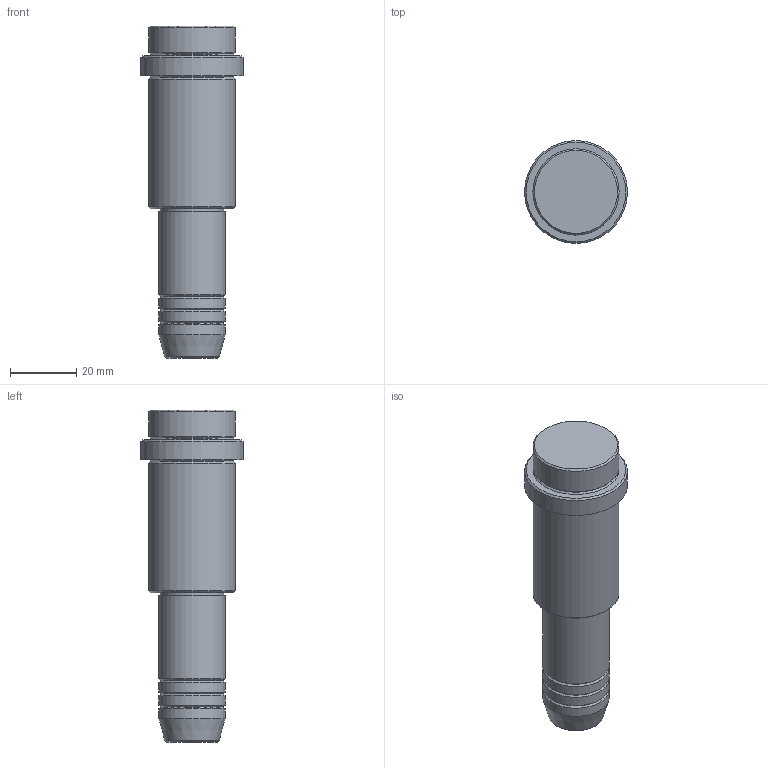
import math

import cadquery as cq

total_length = 100.0
head_length = 9.0
collar_thickness = 6.0
body_length = 40.0
nose_length = 7.0

body_diameter = 26.0
collar_diameter = 31.0
shank_diameter = 20.0

chamfer = 0.5
groove_width = 1.0
groove_depth = 0.5
ring_groove_count = 3
ring_groove_pitch = 4.0
nose_taper_angle = 15.0

collar_top = total_length - head_length
collar_bottom = collar_top - collar_thickness
shoulder = collar_bottom - body_length
lowest_ring_groove_top = nose_length + ring_groove_pitch
nose_end_diameter = shank_diameter - 2 * nose_length * math.tan(math.radians(nose_taper_angle))


def cylinder(diameter, bottom, top):
    """Solid cylinder on the Z axis between two levels."""
    return cq.Workplane("XY").workplane(offset=bottom).circle(diameter / 2).extrude(top - bottom)


def v_groove(diameter, top):
    """Ring cutter for a V groove in a cylinder of the given diameter."""
    radius = diameter / 2
    bottom = top - groove_width
    middle = top - groove_width / 2
    return (
        cq.Workplane("XZ")
        .polyline([
            (radius - groove_depth, middle),
            (radius, top),
            (radius + groove_depth, top),
            (radius + groove_depth, bottom),
            (radius, bottom),
        ])
        .close()
        .revolve(360, (0, 0), (0, 1))
    )


def make_body():
    """Head and body in one cylinder, with V grooves on both sides of the collar."""
    body = cylinder(body_diameter, shoulder, total_length)
    body = body.faces("<Z or >Z").edges().chamfer(chamfer)
    for groove_top in (collar_top + groove_width, collar_bottom):
        body = body.cut(v_groove(body_diameter, groove_top))
    return body


def make_collar():
    """Collar with its upper edge chamfered."""
    return cylinder(collar_diameter, collar_bottom, collar_top).faces(">Z").edges().chamfer(chamfer)


def make_shank():
    """Shank with a square undercut below the shoulder and V-shaped ring grooves."""
    undercut_bottom = shoulder - groove_width
    shank = cylinder(shank_diameter, nose_length, undercut_bottom)
    shank = shank.union(cylinder(shank_diameter - 2 * groove_depth, undercut_bottom, shoulder))
    for index in range(ring_groove_count):
        groove_top = lowest_ring_groove_top + index * ring_groove_pitch
        shank = shank.cut(v_groove(shank_diameter, groove_top))
    return shank


def make_nose():
    """Tapered nose with its lower edge chamfered."""
    nose = (
        cq.Workplane("XZ")
        .polyline([
            (0, 0),
            (nose_end_diameter / 2, 0),
            (shank_diameter / 2, nose_length),
            (0, nose_length),
        ])
        .close()
        .revolve(360, (0, 0), (0, 1))
    )
    return nose.faces("<Z").edges().chamfer(chamfer)


result = make_body().union(make_collar()).union(make_shank()).union(make_nose())